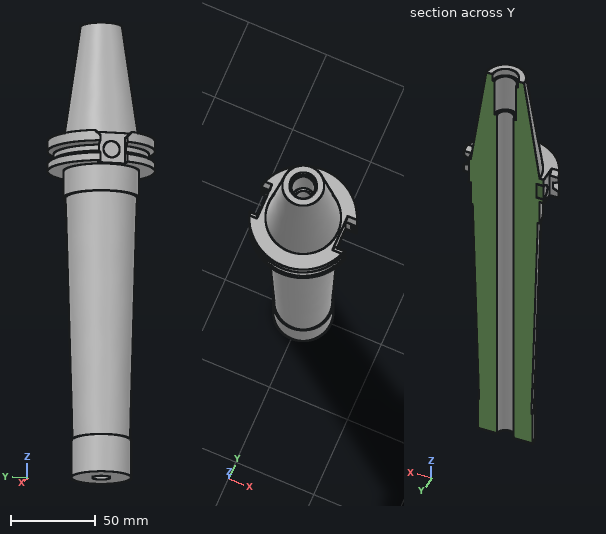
import cadquery as cq
import math

TOTAL_HEIGHT = 271.5
NOSE_BEVEL_BOTTOM = 21.0
NOSE_TOP = 22.5
SHANK_BOTTOM = 23.3
COLLAR_BOTTOM = 168.3
FLANGE_BOTTOM = 184.3
FLANGE_TOP = 202.5
TAPER_BOTTOM = 203.3

NOSE_DIAMETER = 35.5
NOSE_TOP_DIAMETER = 35.3
SHANK_TIP_DIAMETER = 34.2
SHANK_ROOT_DIAMETER = 42.3
COLLAR_DIAMETER = 44.5
FLANGE_DIAMETER = 63.5
TAPER_LARGE_DIAMETER = 44.5
TAPER_SMALL_DIAMETER = 24.7

GROOVE_FLOOR_DIAMETER = 56.5
GROOVE_BOTTOM = 189.0
GROOVE_TOP = 196.3
GROOVE_WALL_RISE = 2.0

SLOT_WIDTH = 16.5
LEFT_SLOT_FLOOR_X = -25.0
RIGHT_SLOT_FLOOR_X = 23.5
SLOT_CHAMFER = 3.0

PLUG_DIAMETER = 9.8
PLUG_LENGTH = 4.5
PLUG_Z = 192.5

BORE_DIAMETER = 10.5
THREAD_DIAMETER = 13.8
THREAD_END_DEPTH = 29.9
PILOT_DIAMETER = 16.0
PILOT_DEPTH = 5.0


def revolve_profile(steps):
    """Revolve a solid about Z from (diameter, z) pairs listed bottom to top."""
    points = [(diameter / 2, z) for diameter, z in steps]
    bottom_z = steps[0][1]
    top_z = steps[-1][1]
    outline = cq.Workplane("XZ").polyline([(0, bottom_z), *points, (0, top_z)]).close()
    return outline.revolve(360, (0, 0, 0), (0, 1, 0))


def cylinder(diameter, bottom_z, top_z):
    return cq.Workplane("XY").workplane(offset=bottom_z).circle(diameter / 2).extrude(top_z - bottom_z)


def make_blank():
    """Turned holder: nose, shank, collar, grooved flange and spindle taper."""
    return revolve_profile([
        (NOSE_DIAMETER, 0),
        (NOSE_DIAMETER, NOSE_BEVEL_BOTTOM),
        (NOSE_TOP_DIAMETER, NOSE_TOP),
        (SHANK_TIP_DIAMETER, NOSE_TOP),
        (SHANK_TIP_DIAMETER, SHANK_BOTTOM),
        (SHANK_ROOT_DIAMETER, COLLAR_BOTTOM),
        (COLLAR_DIAMETER, COLLAR_BOTTOM),
        (COLLAR_DIAMETER, FLANGE_BOTTOM),
        (FLANGE_DIAMETER, FLANGE_BOTTOM),
        (FLANGE_DIAMETER, GROOVE_BOTTOM),
        (GROOVE_FLOOR_DIAMETER, GROOVE_BOTTOM + GROOVE_WALL_RISE),
        (GROOVE_FLOOR_DIAMETER, GROOVE_TOP - GROOVE_WALL_RISE),
        (FLANGE_DIAMETER, GROOVE_TOP),
        (FLANGE_DIAMETER, FLANGE_TOP),
        (TAPER_LARGE_DIAMETER, FLANGE_TOP),
        (TAPER_LARGE_DIAMETER, TAPER_BOTTOM),
        (TAPER_SMALL_DIAMETER, TOTAL_HEIGHT),
    ])


def make_slot_cutter(floor_x):
    """Drive slot with flared upper edges, open outward from its floor."""
    side = math.copysign(1, floor_x)
    half_width = SLOT_WIDTH / 2
    flared_half_width = half_width + SLOT_CHAMFER
    flare_bottom = FLANGE_TOP - SLOT_CHAMFER
    half_outline = [
        (half_width, FLANGE_BOTTOM),
        (half_width, flare_bottom),
        (flared_half_width, FLANGE_TOP),
    ]
    mirrored_outline = [(-y, z) for y, z in reversed(half_outline)]
    section = cq.Workplane("YZ").workplane(offset=floor_x)
    section = section.polyline(half_outline + mirrored_outline).close()
    return section.extrude(side * FLANGE_DIAMETER / 2)


def make_plug():
    """Cylindrical plug that fills its pocket behind the -X slot floor."""
    floor = cq.Workplane("YZ").workplane(offset=LEFT_SLOT_FLOOR_X).center(0, PLUG_Z)
    return floor.circle(PLUG_DIAMETER / 2).extrude(PLUG_LENGTH)


def make_holder(plug):
    holder = make_blank()
    for floor_x in (LEFT_SLOT_FLOOR_X, RIGHT_SLOT_FLOOR_X):
        holder = holder.cut(make_slot_cutter(floor_x))
    holder = holder.cut(plug)
    holder = holder.cut(cylinder(BORE_DIAMETER, 0, TOTAL_HEIGHT))
    holder = holder.cut(cylinder(THREAD_DIAMETER, TOTAL_HEIGHT - THREAD_END_DEPTH, TOTAL_HEIGHT))
    return holder.cut(cylinder(PILOT_DIAMETER, TOTAL_HEIGHT - PILOT_DEPTH, TOTAL_HEIGHT))


plug = make_plug()
holder = make_holder(plug)

result = cq.Compound.makeCompound([holder.solids().val(), plug.val()])